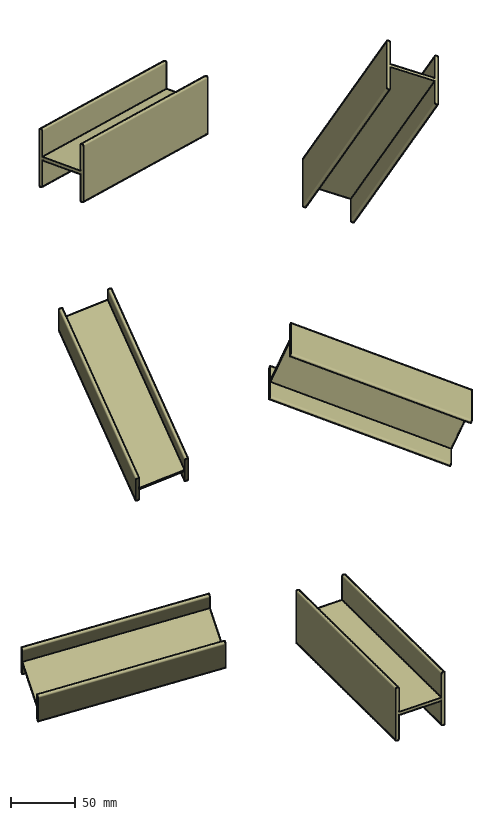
import cadquery as cq

length = 152.4
width = 44.5
height = 50.7

wall = 3.2
flange_offset = (width - wall) / 2
web_width = width - wall


def flange(center_x):
    """Upright plate whose top and bottom edges are fully rounded."""
    return (
        cq.Workplane("XZ")
        .center(center_x, 0)
        .slot2D(height, wall, 90)
        .extrude(length / 2, both=True)
    )


web = cq.Workplane("XY").box(web_width, length, wall)

result = web.union(flange(-flange_offset)).union(flange(flange_offset))